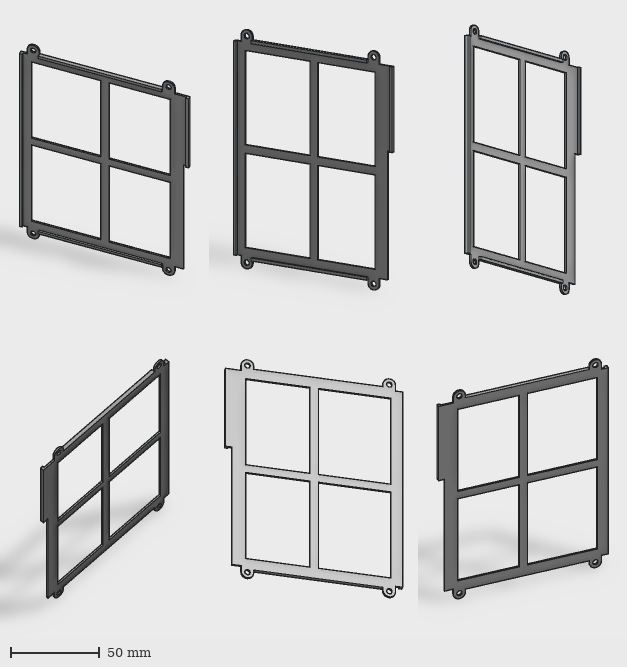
import cadquery as cq

overall_width = 103.7
overall_height = 140.63
plate_thickness = 1.2
overall_depth = 2.5
plate_height = 126.0

lip_width = 1.8
right_lip_depth = 2.3
flag_height = 50.3
narrow_width = 100.0

bar_width = 5.0
left_border = 6.85
left_window_width = 42.5
right_window_width = 37.5
window_height = (plate_height - 3 * bar_width) / 2

lug_width = 7.3
lug_radius = lug_width / 2
lug_hole_diameter = 3.2
lug_centers_x = (7.9, 90.9)
lug_reach = (overall_height - plate_height) / 2
lug_hole_offset = lug_reach - lug_radius


def block(x_start, z_start, width, height, depth):
    """Box from the back face (Y = 0) forward to Y = -depth."""
    return cq.Workplane("XY").box(width, depth, height, centered=False).translate((x_start, -depth, z_start))


def make_plate():
    """Flat panel, widened along its upper right edge."""
    flag_bottom = plate_height - flag_height
    main = block(0, 0, narrow_width, plate_height, plate_thickness)
    flag = block(narrow_width, flag_bottom, overall_width - narrow_width, flag_height, plate_thickness)
    return main.union(flag)


def make_lug(x_center, edge_z, direction):
    """Round-ended ear that grows from a plate edge, up (1) or down (-1)."""
    hole_z = edge_z + direction * lug_hole_offset
    stem = block(x_center - lug_radius, min(edge_z, hole_z), lug_width, lug_hole_offset, plate_thickness)
    end = cq.Workplane("XZ").center(x_center, hole_z).circle(lug_radius).extrude(plate_thickness)
    return stem.union(end)


def make_lug_hole(x_center, edge_z, direction):
    """Screw hole concentric with the round end of a lug."""
    hole_z = edge_z + direction * lug_hole_offset
    return cq.Workplane("XZ").center(x_center, hole_z).circle(lug_hole_diameter / 2).extrude(plate_thickness)


def make_lips():
    """Ribs standing forward along the four edges; the cross ribs run between the lugs."""
    cross_start = lug_centers_x[0] + lug_radius
    cross_length = lug_centers_x[1] - lug_radius - cross_start
    left = block(0, 0, lip_width, plate_height, overall_depth)
    right = block(
        overall_width - lip_width, plate_height - flag_height, lip_width, flag_height, right_lip_depth
    )
    top = block(cross_start, plate_height, cross_length, lip_width, overall_depth)
    bottom = block(cross_start, -lip_width, cross_length, lip_width, overall_depth)
    return left.union(right).union(top).union(bottom)


def make_windows():
    """Two by two grid of rectangular openings separated by bars."""
    columns = (
        (left_border, left_window_width),
        (left_border + left_window_width + bar_width, right_window_width),
    )
    rows = (bar_width, 2 * bar_width + window_height)
    windows = cq.Workplane("XY")
    for x_start, width in columns:
        for z_start in rows:
            windows = windows.add(block(x_start, z_start, width, window_height, plate_thickness))
    return windows.combine()


result = make_plate().union(make_lips())
for x_center in lug_centers_x:
    for edge_z, direction in ((plate_height, 1), (0, -1)):
        result = result.union(make_lug(x_center, edge_z, direction))
        result = result.cut(make_lug_hole(x_center, edge_z, direction))
result = result.cut(make_windows())